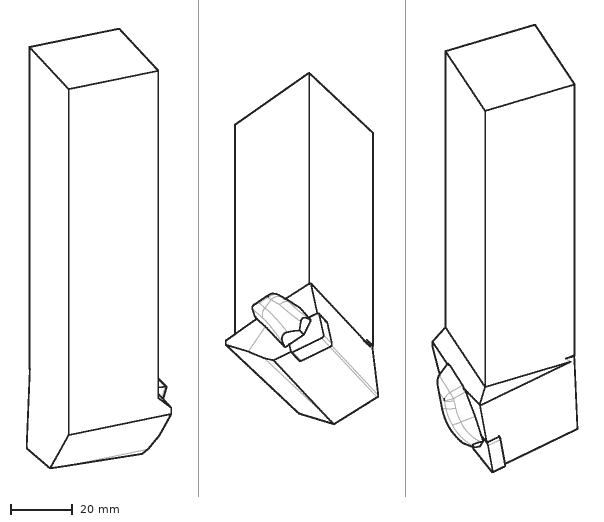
import cadquery as cq
import math

SHANK = 31.75
TOTAL_LENGTH = 152.4
HEAD_TOP_Z = 34.3

SEAT_TILT = 6.3
LEAD_ANGLE = 5.0
LAND_HEIGHT = 36.35
RAMP_START_Z = 32.3
LAND_BACK_Z = RAMP_START_Z - (LAND_HEIGHT - SHANK)
RELIEF_TOP_Z = 25.5
RELIEF_KNEE = (16.4, 5.5)
HEAD_CORNER_RADIUS = 0.5
REACH = 60.0

INSERT_EDGE = 12.9
INSERT_THICKNESS = 4.76
INSERT_CORNER = 80.0
NOSE_RADIUS = 0.8
TIP_X = -6.44
TIP_Z = -0.08
OVERHANG = 0.55

CLAMP_OUTLINE = [
    (6.7, 28.9), (19.3, 28.9), (8.7, 4.9), (0.8, 6.0), (-2.5, 11.2), (1.2, 20.0)]
CLAMP_DRAFT = 15.0
CLAMP_BLANK = 10.2
CLAMP_SINK = 1.2
CLAMP_TOP_Y = 42.67
CLAMP_AXIS_ANGLE = 50.0
CLAMP_NOSE_RADIUS = 19.3
CLAMP_FLAT_START = 25.0
CLAMP_ROUND = 3.0
CLAMP_CORNER = 2.5
BACK_LEFT_CORNER = (6.5, 40.0, 27.0)
NOSE_SHOULDER = (-0.1, 39.8, 14.3)

slope = math.tan(math.radians(SEAT_TILT))
seat = cq.Plane(origin=(TIP_X, SHANK, TIP_Z), xDir=(1, slope, 0), normal=(slope, -1, slope))


def polar(length, degrees):
    angle = math.radians(degrees)
    return (length * math.cos(angle), length * math.sin(angle))


def nearest(point):
    return cq.selectors.NearestToPointSelector(point)


def rhombus(edge, start=(0, 0)):
    """Rhombus in the seat plane with the insert's corner angle at the start point."""
    along = polar(edge, LEAD_ANGLE)
    up = polar(edge, LEAD_ANGLE + INSERT_CORNER)
    steps = [(0, 0), along, (along[0] + up[0], along[1] + up[1]), up]
    points = [(start[0] + x, start[1] + y) for x, y in steps]
    return cq.Workplane(seat).polyline(points).close()


def make_insert():
    blank = rhombus(INSERT_EDGE).extrude(INSERT_THICKNESS)
    return blank.edges(cq.selectors.ParallelDirSelector(seat.zDir)).fillet(NOSE_RADIUS)


def make_shank():
    base = cq.Workplane("XY").workplane(offset=HEAD_TOP_Z)
    return base.rect(SHANK, SHANK, centered=False).extrude(TOTAL_LENGTH - HEAD_TOP_Z)


def make_head():
    half_corner = INSERT_CORNER / 2
    set_in = polar(OVERHANG / math.sin(math.radians(half_corner)), LEAD_ANGLE + half_corner)
    wedge = rhombus(2 * REACH, set_in).extrude(REACH)
    wedge = wedge.edges(nearest((TIP_X, SHANK / 2, TIP_Z))).fillet(HEAD_CORNER_RADIUS)

    knee_x, knee_z = RELIEF_KNEE
    front_profile = [
        (0, HEAD_TOP_Z),
        (0, RAMP_START_Z),
        (-REACH, RAMP_START_Z - REACH),
        (-REACH, -REACH),
        (knee_x - (knee_z + REACH), -REACH),
        RELIEF_KNEE,
        (SHANK, RELIEF_TOP_Z),
        (SHANK, HEAD_TOP_Z),
    ]
    front = cq.Workplane("XZ").polyline(front_profile).close().extrude(-REACH)

    side_profile = [
        (0, HEAD_TOP_Z),
        (SHANK, HEAD_TOP_Z),
        (SHANK, RAMP_START_Z),
        (LAND_HEIGHT, LAND_BACK_Z),
        (LAND_HEIGHT, -REACH),
        (0, -REACH),
    ]
    side = cq.Workplane("YZ").polyline(side_profile).close().extrude(REACH, both=True)
    return wedge.intersect(front).intersect(side)


def make_clamp():
    foot = [(x - TIP_X, z - TIP_Z) for x, z in CLAMP_OUTLINE]
    base = cq.Workplane(seat).workplane(offset=CLAMP_SINK)
    blank = base.polyline(foot).close().extrude(-CLAMP_BLANK, taper=CLAMP_DRAFT)
    blank = blank.edges(nearest(BACK_LEFT_CORNER)).fillet(CLAMP_CORNER)

    across, up = polar(1, CLAMP_AXIS_ANGLE)
    upright = cq.Plane(origin=(TIP_X, 0, TIP_Z), xDir=(across, 0, up), normal=(-up, 0, across))
    arc_center_y = CLAMP_TOP_Y - CLAMP_NOSE_RADIUS

    def on_nose_arc(degrees):
        x, y = polar(CLAMP_NOSE_RADIUS, degrees)
        return (CLAMP_FLAT_START + x, arc_center_y + y)

    profile = (
        cq.Workplane(upright)
        .moveTo(*on_nose_arc(180))
        .threePointArc(on_nose_arc(135), on_nose_arc(90))
        .lineTo(REACH, CLAMP_TOP_Y)
        .lineTo(REACH, 0)
        .lineTo(CLAMP_FLAT_START - CLAMP_NOSE_RADIUS, 0)
        .close()
    )
    shaped = blank.intersect(profile.extrude(REACH, both=True))

    seam = cq.selectors.ParallelDirSelector(upright.zDir)
    rim = shaped.faces(">Y").edges(-seam)
    rim = rim.add(shaped.edges(nearest(NOSE_SHOULDER)))
    rounded = rim.fillet(CLAMP_ROUND)

    underside = cq.Workplane("XY").workplane(offset=LAND_BACK_Z).rect(REACH, LAND_HEIGHT, centered=False)
    return rounded.cut(underside.extrude(REACH))


insert = make_insert()
holder = make_shank().union(make_head()).union(make_clamp()).cut(insert).solids()
result = cq.Compound.makeCompound([holder.val(), insert.val()])